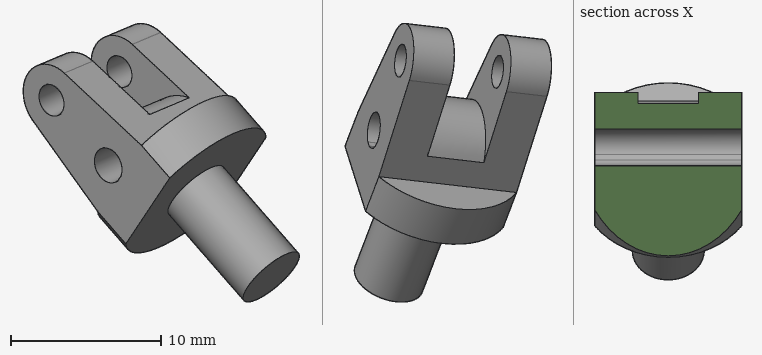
import cadquery as cq
import math

tilt = 34.1
body_width = 9.8
lug_radius = 2.5
pivot_hole_diameter = 2.2
cross_hole_diameter = 2.42
cross_hole_distance = 6.01

flange_diameter = 11.97
flange_start = 7.2
flange_thickness = 3.0
flange_end = flange_start + flange_thickness

stem_diameter = 4.8
stem_end = 18.2

slot_width = 4.0
slot_floor_radius = 3.75

flange_radius = flange_diameter / 2
base_half_height = math.sqrt(flange_radius**2 - (body_width / 2) ** 2)


def disc_across(x, diameter, width):
    """Cylinder along Y, centred on the axis at distance x from the pivot."""
    return cq.Workplane("XZ").center(x, 0).circle(diameter / 2).extrude(width / 2, both=True)


def cylinder_along(start, end, diameter):
    """Cylinder along the part axis."""
    return cq.Workplane("YZ").workplane(offset=start).circle(diameter / 2).extrude(end - start)


def lug_body():
    """Plate with a round nose and tangent straight sides that widen to the flange front face."""
    corner_distance = math.hypot(flange_start, base_half_height)
    tangent_angle = math.atan2(base_half_height, flange_start) + math.acos(lug_radius / corner_distance)
    tangent_x = lug_radius * math.cos(tangent_angle)
    tangent_z = lug_radius * math.sin(tangent_angle)
    return (
        cq.Workplane("XZ")
        .moveTo(flange_end, -base_half_height)
        .lineTo(flange_start, -base_half_height)
        .lineTo(tangent_x, -tangent_z)
        .threePointArc((-lug_radius, 0), (tangent_x, tangent_z))
        .lineTo(flange_start, base_half_height)
        .lineTo(flange_end, base_half_height)
        .close()
        .extrude(body_width / 2, both=True)
    )


def fork_slot():
    """Gap between the two lugs, ending at the convex floor."""
    gap_length = flange_start + lug_radius
    gap = cq.Workplane("XY").box(gap_length, slot_width, flange_diameter, centered=(False, True, True))
    gap = gap.translate((-lug_radius, 0, 0))
    return gap.cut(disc_across(flange_start, 2 * slot_floor_radius, slot_width))


def trimmed_flange():
    """Round flange with flat sides flush with the body."""
    flange = cylinder_along(flange_start, flange_end, flange_diameter)
    trim = cq.Workplane("XY").box(flange_thickness, body_width, flange_diameter)
    return flange.intersect(trim.translate(((flange_start + flange_end) / 2, 0, 0)))


clevis = lug_body().cut(fork_slot())
clevis = clevis.cut(disc_across(0, pivot_hole_diameter, body_width))
clevis = clevis.cut(disc_across(cross_hole_distance, cross_hole_diameter, body_width))
clevis = clevis.union(trimmed_flange())
clevis = clevis.union(cylinder_along(flange_end, stem_end, stem_diameter))

result = clevis.rotate((0, 0, 0), (0, 1, 0), tilt)